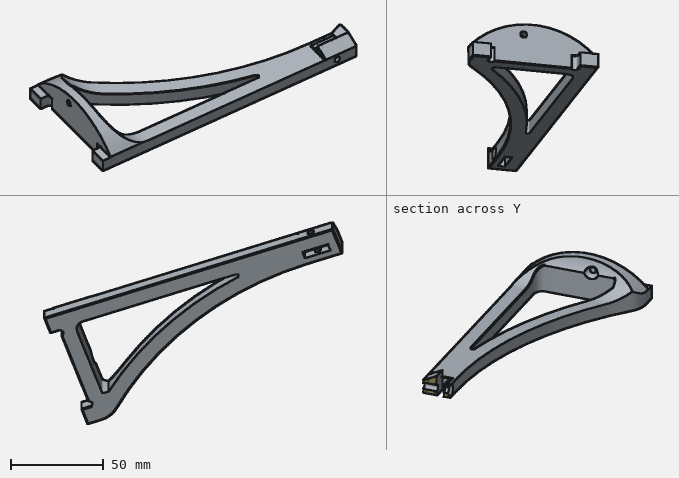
import cadquery as cq
import math

width = 70.0
length = 165
arm_thickness = 8.0
arch_height = 23.1

head_width = 16.0
head_length = 20.1
arm_outer_radius = 186.0
curved_arm_width = 8.9
straight_arm_width = 8.9
corner_radius = 15.0

arch_end_height = 8.2
foot_length = 5.1
foot_width = 10.0
relief_radius = 1.6
plate_back = 14.0
blend_radius = 20.0
blend_start = 30.0

window_left = 15.5
window_left_radius = 1.0
window_tip_radius = 1.0
window_corner_radius = 5

lap_height = 11.9
lap_ramp_length = 5.6
slot_left = 58.0
lip_width = 2.0
lip_depth = 1.0
groove_width = 0.7
groove_depth = 0.3

screw_diameter = 3.5
head_sink_diameter = 7.0
head_hole_y = 152.3
head_hole_z = 4.5
plate_hole_x = 29.7
plate_hole_z = 17.0
plate_sink_diameter = 8.5

edge_chamfer = 0.5
rim_chamfer = 0.3
tolerance = 0.002

head_left = width - head_width
head_start = length - head_length
lap_split = width - head_width / 2
slot_end = length - lap_ramp_length
arm_center_x = head_left - arm_outer_radius
arm_center_y = head_start
window_right = width - straight_arm_width
window_radius = arm_outer_radius + curved_arm_width


def arm_point(radius, angle):
    """Point on a circle around the centre of the curved arm."""
    return (arm_center_x + radius * math.cos(angle), arm_center_y + radius * math.sin(angle))


def angle_at_x(radius, x):
    """Downward angle at which the circle around the arm centre reaches x."""
    return -math.acos((x - arm_center_x) / radius)


def box(x_range, y_range, z_range):
    """Box spanning the three given ranges."""
    lows, highs = zip(x_range, y_range, z_range)
    sizes = [high - low for low, high in zip(lows, highs)]
    return cq.Workplane("XY").box(*sizes, centered=False).translate(lows)


def nearest_edge(solid, x, y):
    """Vertical edge of the solid closest to the given plan position."""
    return solid.edges("|Z").edges(cq.selectors.NearestToPointSelector((x, y, 0)))


def make_outline(height):
    """Extruded plan outline, with the gap between the feet removed."""
    corner_angle = angle_at_x(arm_outer_radius + corner_radius, corner_radius)
    corner_center_x, corner_center_y = arm_point(arm_outer_radius + corner_radius, corner_angle)
    corner_middle_angle = math.pi + corner_angle / 2
    corner_middle = (
        corner_center_x + corner_radius * math.cos(corner_middle_angle),
        corner_center_y + corner_radius * math.sin(corner_middle_angle),
    )
    return (
        cq.Workplane("XY")
        .moveTo(0, 0)
        .lineTo(0, corner_center_y)
        .threePointArc(corner_middle, arm_point(arm_outer_radius, corner_angle))
        .threePointArc(arm_point(arm_outer_radius, corner_angle / 2), (head_left, head_start))
        .lineTo(head_left, length)
        .lineTo(width, length)
        .lineTo(width, 0)
        .lineTo(width - foot_width, 0)
        .lineTo(width - foot_width, foot_length)
        .lineTo(foot_width, foot_length)
        .lineTo(foot_width, 0)
        .close()
        .extrude(height)
    )


def make_arch():
    """End plate with an arched crown that blends down into the arms."""
    crown = (
        cq.Workplane("XZ", origin=(0, foot_length, 0))
        .moveTo(0, arm_thickness)
        .lineTo(0, arch_end_height)
        .threePointArc((width / 2, arch_height), (width, arch_end_height))
        .lineTo(width, arm_thickness)
        .close()
        .extrude(foot_length - blend_start)
    )
    blend = (
        cq.Workplane("YZ")
        .center(blend_start, arm_thickness + blend_radius)
        .circle(blend_radius)
        .extrude(width)
    )
    return crown.cut(blend).intersect(make_outline(arch_height))


def make_window():
    """Through opening bounded by both arms and the end plate."""
    tip_angle = angle_at_x(window_radius, window_right)
    foot_angle = angle_at_x(window_radius, window_left)
    tip = arm_point(window_radius, tip_angle)
    window = (
        cq.Workplane("XY")
        .moveTo(window_left, plate_back)
        .lineTo(*arm_point(window_radius, foot_angle))
        .threePointArc(arm_point(window_radius, (tip_angle + foot_angle) / 2), tip)
        .lineTo(window_right, plate_back)
        .close()
        .extrude(arch_height)
    )
    window = nearest_edge(window, window_right, plate_back).fillet(window_corner_radius)
    window = nearest_edge(window, window_left, plate_back).fillet(window_left_radius)
    return nearest_edge(window, *tip).fillet(window_tip_radius)


def is_window_rim(edge, window):
    """True for the upper window edges along the arms, but not along the end plate."""
    middle = edge.positionAt(0.5)
    touches_window = window.val().distance(cq.Vertex.makeVertex(*middle.toTuple())) < tolerance
    along_arms = middle.y > plate_back + tolerance
    on_top = middle.z > arm_thickness - tolerance
    return touches_window and along_arms and on_top


def make_head_ramps():
    """Raised ridge of the joint: a ramp across the end and one beside the slot."""
    end_ramp = (
        cq.Workplane("YZ", origin=(head_left, 0, 0))
        .moveTo(slot_end, arm_thickness)
        .lineTo(length, arm_thickness)
        .lineTo(length, lap_height)
        .close()
        .extrude(lap_split - head_left)
    )
    side_ramp = (
        cq.Workplane("XZ", origin=(0, head_start, 0))
        .moveTo(lap_split, arm_thickness)
        .lineTo(width, arm_thickness)
        .lineTo(lap_split, lap_height)
        .close()
        .extrude(-head_length)
    )
    return end_ramp.union(side_ramp)


def make_head_slot():
    """Through slot with a sloped lip on its left side and a groove at its arm end."""
    slot = box((slot_left, lap_split), (head_start, slot_end), (0, lap_height))
    lip = (
        cq.Workplane("XZ", origin=(0, head_start, 0))
        .moveTo(slot_left - lip_width, arm_thickness)
        .lineTo(slot_left, arm_thickness)
        .lineTo(slot_left, arm_thickness - lip_depth)
        .close()
        .extrude(head_start - slot_end)
    )
    groove = (
        cq.Workplane("YZ", origin=(slot_left - lip_width, 0, 0))
        .moveTo(head_start - groove_width, arm_thickness)
        .lineTo(head_start, arm_thickness)
        .lineTo(head_start, arm_thickness - groove_depth)
        .close()
        .extrude(width - slot_left + lip_width)
    )
    return slot.union(lip).union(groove)


def make_foot_reliefs():
    """Half-round reliefs in the plate at the inner side of each foot."""
    inset = foot_width + relief_radius
    return (
        cq.Workplane("XY")
        .pushPoints([(inset, foot_length), (width - inset, foot_length)])
        .circle(relief_radius)
        .extrude(arm_thickness)
    )


def make_screw_hole(start, direction, depth, sink_diameter):
    """Straight bore with a right-angled conical countersink at its start."""
    start = cq.Vector(*start)
    axis = cq.Vector(*direction)
    sink_radius = sink_diameter / 2
    bore = cq.Solid.makeCylinder(screw_diameter / 2, depth, start, axis)
    sink = cq.Solid.makeCone(sink_radius, 0, sink_radius, start, axis)
    return cq.Workplane(bore.fuse(sink))


body = make_outline(arm_thickness).union(make_arch())
body = body.faces("<Z").chamfer(edge_chamfer)

body = body.union(make_head_ramps())
body = body.edges("|Z and >Y").chamfer(edge_chamfer)

window = make_window()
body = body.cut(window)
body = body.edges().filter(lambda edge: is_window_rim(edge, window)).chamfer(rim_chamfer)

body = body.cut(make_head_slot())
body = body.cut(make_foot_reliefs())

head_hole_start = (head_left, head_hole_y, head_hole_z)
plate_hole_start = (plate_hole_x, plate_back, plate_hole_z)
body = body.cut(make_screw_hole(head_hole_start, (1, 0, 0), head_width, head_sink_diameter))
body = body.cut(make_screw_hole(plate_hole_start, (0, -1, 0), plate_back, plate_sink_diameter))

result = body